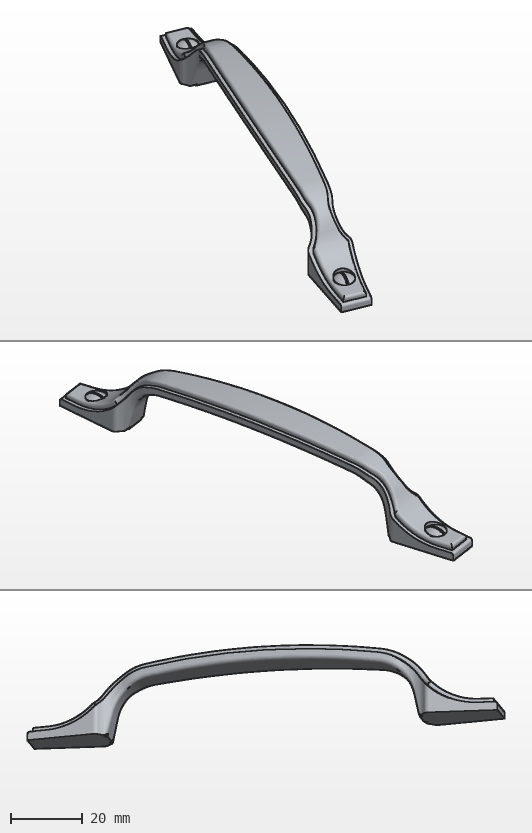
import cadquery as cq
import math

length = 135.0
height = 23.0
half_length = length / 2

crown_radius = 234.9
shoulder_radius = 18.2
foot_radius = 18.9
seam_x = 33.5
pad_height = 4.0

grip_depth = 4.3
underside_radius = 12.4
leg_inner_x = 44.8

mid_half_width = 6.3
side_radius = 432.0
side_seam_x = 36.5
hip_radius = 10.8
waist_half_width = 3.6
waist_radius = 6.8
waist_foot_radius = 6.2
end_half_width = 4.6
foot_half_width = 6.6
foot_corner_x = 48.0
foot_corner_radius = 1.6

panel_step = 1.6
panel_inset = 1.28
panel_corner_radius = 1.1
panel_rounding = 0.8
end_rounding = 0.8
underside_rounding = 1.1

screw_x = 58.2
screw_radius = 3.1
dome_height = 1.1
slot_width = 0.5


def polar(center, radius, angle):
    """Point on a circle; the angle is in radians from +X."""
    return (center[0] + radius * math.cos(angle), center[1] + radius * math.sin(angle))


class SCurve:
    """Three tangent arcs on the -X side: a crown, a convex shoulder and a concave dip.

    The dip bottoms out level at dip_level. A positive inset gives the parallel curve below.
    """

    def __init__(self, apex, crown_r, crown_end, shoulder_r, dip_r, dip_level, inset=0.0):
        crown_center = (0, apex - crown_r)
        seam_angle = math.pi / 2 + math.asin(crown_end / crown_r)
        shoulder_center = polar(crown_center, crown_r - shoulder_r, seam_angle)
        rise = dip_level + dip_r - shoulder_center[1]
        run = math.sqrt((shoulder_r + dip_r) ** 2 - rise**2)
        turn_angle = math.atan2(rise, -run)
        self.dip_center = (shoulder_center[0] - run, dip_level + dip_r)

        self.apex = (0, apex - inset)
        self.seam = polar(crown_center, crown_r - inset, seam_angle)
        self.crown_mid = polar(crown_center, crown_r - inset, (math.pi / 2 + seam_angle) / 2)
        self.turn = polar(shoulder_center, shoulder_r - inset, turn_angle)
        self.shoulder_mid = polar(shoulder_center, shoulder_r - inset, (seam_angle + turn_angle) / 2)
        self.dip_mid = polar(self.dip_center, dip_r + inset, (turn_angle - math.pi - math.pi / 2) / 2)
        self.dip = (self.dip_center[0], dip_level - inset)

    def draw(self, sketch):
        """Add the three arcs to a chain that stands at the apex."""
        return (
            sketch.threePointArc(self.crown_mid, self.seam)
            .threePointArc(self.shoulder_mid, self.turn)
            .threePointArc(self.dip_mid, self.dip)
        )


def mirrored(half):
    """Join a solid lying at -X with its mirror image."""
    return half.union(half.mirror("YZ"))


def side_profile(inset):
    """Handle side profile, extruded across Y, with its top surface lowered by inset."""
    top = SCurve(height, crown_radius, seam_x, shoulder_radius, foot_radius, pad_height, inset)

    under_crown_radius = crown_radius - grip_depth
    under_center = (0, height - crown_radius)
    seam_angle = math.pi / 2 + math.asin(seam_x / crown_radius)
    bend_center = polar(under_center, under_crown_radius - underside_radius, seam_angle)
    to_foot = (-leg_inner_x - bend_center[0], -bend_center[1])
    foot_angle = math.atan2(to_foot[1], to_foot[0]) + 2 * math.pi
    leg_angle = foot_angle - math.acos(underside_radius / math.hypot(*to_foot))

    sketch = top.draw(cq.Workplane("XZ").moveTo(*top.apex))
    half = (
        sketch.lineTo(-half_length, pad_height - inset)
        .lineTo(-half_length, 0)
        .lineTo(-leg_inner_x, 0)
        .lineTo(*polar(bend_center, underside_radius, leg_angle))
        .threePointArc(
            polar(bend_center, underside_radius, (leg_angle + seam_angle) / 2),
            polar(under_center, under_crown_radius, seam_angle),
        )
        .threePointArc(
            polar(under_center, under_crown_radius, (seam_angle + math.pi / 2) / 2),
            (0, height - grip_depth),
        )
        .close()
        .extrude(foot_half_width * 2, both=True)
    )
    return mirrored(half)


def plan_outline(inset, corner_radius):
    """Handle outline as seen from above, extruded upward, narrowed all round by inset."""
    side = SCurve(
        mid_half_width, side_radius, side_seam_x, hip_radius, waist_radius, waist_half_width, inset
    )
    end_x = inset - half_length
    taper = (foot_half_width - end_half_width) / (half_length - foot_corner_x)
    end_y = end_half_width + taper * inset - inset

    arc_radius = waist_foot_radius + inset
    arc_center = (side.dip[0], waist_half_width + waist_foot_radius)
    drop = end_y + taper * (arc_center[0] - end_x) - arc_center[1]
    slope_length = math.hypot(1, taper)
    corner_angle = math.pi + math.atan(taper) - math.asin(drop / slope_length / arc_radius)
    corner = polar(arc_center, arc_radius, corner_angle)
    arc_mid = polar(arc_center, arc_radius, (corner_angle + 3 * math.pi / 2) / 2)

    quarter = (
        side.draw(cq.Workplane("XY").moveTo(*side.apex))
        .threePointArc(arc_mid, corner)
        .lineTo(end_x, end_y)
        .lineTo(end_x, 0)
        .lineTo(0, 0)
        .close()
        .extrude(height * 2)
    )
    near_corner = cq.selectors.BoxSelector(
        (corner[0] - 0.1, corner[1] - 0.1, 0), (corner[0] + 0.1, corner[1] + 0.1, height * 2)
    )
    quarter = quarter.edges(near_corner).fillet(corner_radius)
    return mirrored(quarter.union(quarter.mirror("XZ"))).clean()


def rim_edges(solid, faces):
    """Edges of the solid that border just one of the given faces."""
    edges = [edge for face in faces for edge in face.Edges()]
    rim = [edge for edge in edges if sum(edge.isSame(other) for other in edges) == 1]
    return solid.newObject(rim)


def upper_faces(solid):
    """Faces that look upward."""
    return [face for face in solid.faces().vals() if face.normalAt().z > 0.1]


def underside_faces(solid):
    """Faces that look downward, other than the ground contact faces."""
    downward = [face for face in solid.faces().vals() if face.normalAt().z < -0.1]
    return [face for face in downward if face.Center().z > 0.1]


def base():
    """Body of the handle, up to the ledge around the raised panel."""
    body = plan_outline(0, foot_corner_radius).intersect(side_profile(panel_step))
    body = rim_edges(body, underside_faces(body)).fillet(underside_rounding)
    end_faces = body.faces("<X or >X")
    return end_faces.edges(">Z").fillet(end_rounding)


def panel():
    """Raised panel that runs along the top from end to end."""
    outline = plan_outline(panel_inset, panel_corner_radius)
    body = outline.intersect(side_profile(0))
    return rim_edges(body, upper_faces(body)).fillet(panel_rounding)


def add_screw_head(handle, x):
    """Slotted round screw head seated in a shallow flat recess."""
    seat = cq.Workplane("XY", origin=(x, 0, pad_height))
    recess = seat.circle(screw_radius).extrude(height - pad_height)
    sphere_radius = (screw_radius**2 + dome_height**2) / (2 * dome_height)
    dome = (
        seat.workplane(offset=dome_height - sphere_radius)
        .sphere(sphere_radius)
        .intersect(recess)
    )
    slot = seat.rect(2 * screw_radius, slot_width).extrude(dome_height)
    return handle.cut(recess).union(dome.cut(slot))


result = base().union(panel())
for side in (-1, 1):
    result = add_screw_head(result, side * screw_x)